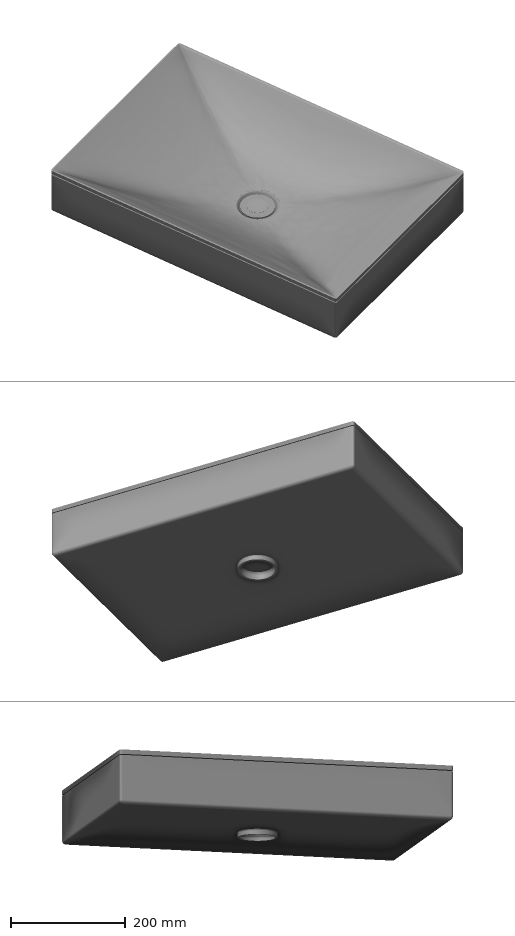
import cadquery as cq
import math

LENGTH = 600.0
WIDTH = 400.0
BASIN_HEIGHT = 96.0
PIPE_DROP = 9.0
RIM_FLAT = 2.5
RIM_BEVEL_WIDTH = 2.5
RIM_BEVEL_DROP = 1.0
RIM_BAND = 8.0
JOINT_GAP = 2.0
BOWL_DEPTH = 79.0
BOWL_WALL = 4.0
UPRIGHT_EDGE_RADIUS = 4.0
BOTTOM_EDGE_RADIUS = 6.5

SLOPE_POWER = 1.6
SECTIONS = 7
RIM_CORNER_RADIUS = 2.0
VALLEY_SWELL = 11.5
VALLEY_ANGLE = 43.0
VALLEY_SPREAD = 6.0
VALLEY_STRIPS = 3
FLOOR_RADIUS = 36.0

RING_RADIUS = 39.5
RING_LIP = 3.0
RING_HEIGHT = 9.5
RING_SLOPE_RADIUS = 32.0
RING_SLOPE_DROP = 4.0
PLUG_RADIUS = 30.5
PLUG_SINK = 2.0
PLUG_BUTTON_RADIUS = 18.5
PLUG_BUTTON_HEIGHT = 0.5
PIPE_RADIUS = 35.0
PIPE_BORE_RADIUS = 30.5

TOP = PIPE_DROP + BASIN_HEIGHT
RIM_WIDTH = RIM_FLAT + RIM_BEVEL_WIDTH
HALF_LENGTH = LENGTH / 2 - RIM_WIDTH
HALF_WIDTH = WIDTH / 2 - RIM_WIDTH
BOWL_TOP = TOP - RIM_BEVEL_DROP
JOINT = TOP - RIM_BAND
DRAIN_LEVEL = BOWL_TOP - BOWL_DEPTH
RING_BOTTOM = DRAIN_LEVEL - RING_HEIGHT
RING_SLOPE_FOOT = DRAIN_LEVEL - RING_SLOPE_DROP
PLUG_TOP = DRAIN_LEVEL - PLUG_SINK


def blend(start, end, share):
    return start + (end - start) * share


def valley_point(step, share):
    """Plan position of one line of the +X +Y valley; share runs from 0 at the rim to 1 at the drain."""
    across = step / VALLEY_STRIPS
    radius = RIM_CORNER_RADIUS + VALLEY_SWELL * math.sin(math.pi * share)
    angle = math.radians(VALLEY_ANGLE + VALLEY_SPREAD * (across - 0.5))
    corner_x = blend(HALF_LENGTH, FLOOR_RADIUS * math.cos(angle), share)
    corner_y = blend(HALF_WIDTH, FLOOR_RADIUS * math.sin(angle), share)
    return corner_x - radius * across**2, corner_y - radius * (1 - across) ** 2


def bowl_contour(share):
    """Closed horizontal contour of the bowl: four bowed sides joined by faceted valley corners."""
    z = BOWL_TOP - BOWL_DEPTH * (1 - (1 - share) ** SLOPE_POWER)
    middle_x = blend(HALF_LENGTH, FLOOR_RADIUS, share)
    middle_y = blend(HALF_WIDTH, FLOOR_RADIUS, share)
    valley = [valley_point(step, share) for step in range(VALLEY_STRIPS + 1)]
    corners = [
        [cq.Vector(x, y, z) for x, y in valley],
        [cq.Vector(-x, y, z) for x, y in reversed(valley)],
        [cq.Vector(-x, -y, z) for x, y in valley],
        [cq.Vector(x, -y, z) for x, y in reversed(valley)],
    ]
    side_middles = [
        cq.Vector(0, middle_y, z),
        cq.Vector(-middle_x, 0, z),
        cq.Vector(0, -middle_y, z),
        cq.Vector(middle_x, 0, z),
    ]
    edges = []
    for index, corner in enumerate(corners):
        next_corner = corners[(index + 1) % len(corners)]
        edges += [cq.Edge.makeLine(a, b) for a, b in zip(corner, corner[1:])]
        edges.append(cq.Edge.makeSpline([corner[-1], side_middles[index], next_corner[0]]))
    return cq.Wire.assembleEdges(edges)


def bowl_form():
    """The hollow of the bowl as a solid."""
    contours = [bowl_contour(index / (SECTIONS - 1)) for index in range(SECTIONS)]
    return cq.Workplane(cq.Solid.makeLoft(contours))


def cylinder(radius, bottom, top):
    return cq.Workplane().workplane(offset=bottom).circle(radius).extrude(top - bottom)


def block(bottom, top):
    """Rectangular block on the basin's outline with rounded upright edges."""
    base = cq.Workplane().workplane(offset=bottom).rect(LENGTH, WIDTH)
    return base.extrude(top - bottom).edges("|Z").fillet(UPRIGHT_EDGE_RADIUS)


def rim_opening():
    """Opening inside the rim, with sides that slope inward down to the bowl surface."""
    foot = cq.Workplane().workplane(offset=BOWL_TOP).rect(2 * HALF_LENGTH, 2 * HALF_WIDTH)
    mouth = foot.workplane(offset=RIM_BEVEL_DROP).rect(LENGTH - 2 * RIM_FLAT, WIDTH - 2 * RIM_FLAT)
    return mouth.loft(ruled=True)


def revolve_about_z(profile):
    """Turn a closed (radius, height) outline about the Z axis."""
    return cq.Workplane("XZ").polyline(profile).close().revolve(360, (0, 0, 0), (0, 1, 0))


hollow = bowl_form()
bowl_underside = hollow.translate((0, 0, -BOWL_WALL))
ring_hole = cylinder(RING_RADIUS, RING_BOTTOM, TOP)
pipe_hole = cylinder(PIPE_RADIUS, 0, TOP)


def make_bowl():
    skin = block(JOINT, TOP).union(bowl_underside)
    return skin.cut(hollow).cut(rim_opening()).cut(ring_hole)


def make_casing():
    casing = block(PIPE_DROP, JOINT - JOINT_GAP).faces("<Z").edges().fillet(BOTTOM_EDGE_RADIUS)
    return casing.cut(bowl_underside).cut(ring_hole).cut(pipe_hole)


def make_drain_ring():
    """Ring whose top slopes from a flat lip down to a narrow ledge beside the plug."""
    return revolve_about_z([
        (PLUG_RADIUS, RING_BOTTOM),
        (RING_RADIUS, RING_BOTTOM),
        (RING_RADIUS, DRAIN_LEVEL),
        (RING_RADIUS - RING_LIP, DRAIN_LEVEL),
        (RING_SLOPE_RADIUS, RING_SLOPE_FOOT),
        (PLUG_RADIUS, RING_SLOPE_FOOT),
    ])


def make_plug():
    disc = cylinder(PLUG_RADIUS, RING_BOTTOM, PLUG_TOP)
    return disc.union(cylinder(PLUG_BUTTON_RADIUS, PLUG_TOP, PLUG_TOP + PLUG_BUTTON_HEIGHT))


def make_drain_pipe():
    return cylinder(PIPE_RADIUS, 0, RING_BOTTOM).cut(cylinder(PIPE_BORE_RADIUS, 0, RING_BOTTOM))


bowl = make_bowl()
casing = make_casing()
drain_ring = make_drain_ring()
plug = make_plug()
drain_pipe = make_drain_pipe()

result = cq.Compound.makeCompound([
    bowl.val(),
    casing.val(),
    drain_ring.val(),
    plug.val(),
    drain_pipe.val(),
])